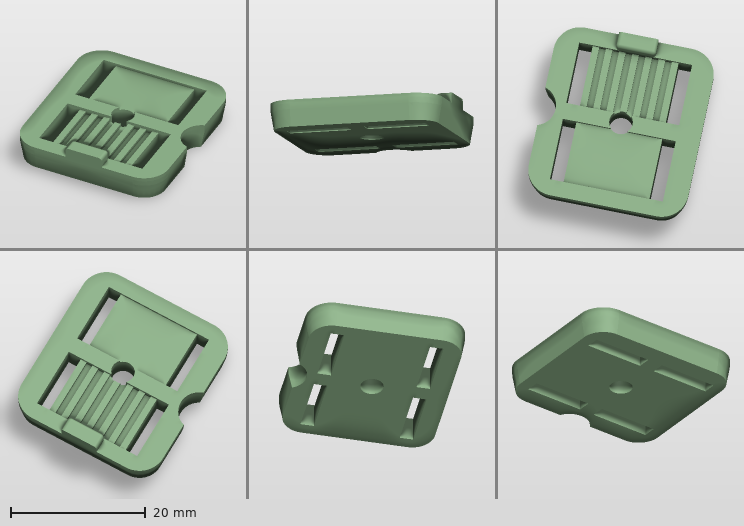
import cadquery as cq

LENGTH_X = 24.14
LENGTH_Y = 26.35
PLATE_HEIGHT = 4.0
CORNER_RADIUS = 4.0
RIM_HEIGHT = 1.0
DRAFT_ANGLE = 10.0
RIM_BLEND_RADIUS = 5.0
SELECTION_MARGIN = 0.01

WINDOW_WIDTH = 17.1
WINDOW_LENGTH = 9.5
CROSSBAR_WIDTH = 2.5
WINDOW_OFFSET = (CROSSBAR_WIDTH + WINDOW_LENGTH) / 2

PAD_HEIGHT = 3.55
RIB_COUNT = 7
RIB_PITCH = 2.0
GROOVE_WIDTH = 1.0
PAD_WIDTH = RIB_COUNT * RIB_PITCH - GROOVE_WIDTH
GROOVE_DEPTH = 0.55

HOLE_DIAMETER = 3.5
NOTCH_RADIUS = 3.1
NOTCH_DEPTH = 2.17

TAB_WIDTH = 6.0
TAB_HEIGHT = 1.6
TAB_LENGTH = LENGTH_Y / 2 - CROSSBAR_WIDTH / 2 - WINDOW_LENGTH
TAB_FILLET = 0.5


def box(width, length, bottom, top, center_x=0.0, center_y=0.0):
    """Upright box between two heights, centred at (center_x, center_y)."""
    return (
        cq.Workplane("XY", origin=(center_x, center_y, bottom))
        .rect(width, length)
        .extrude(top - bottom)
    )


def vertical_cylinder(radius, center_x=0.0):
    return cq.Workplane("XY", origin=(center_x, 0, 0)).circle(radius).extrude(PLATE_HEIGHT)


def make_plate():
    """Rounded rectangle with a vertical rim, a blended bend and drafted sides."""
    bend_height = PLATE_HEIGHT - RIM_HEIGHT
    outline = cq.Sketch().rect(LENGTH_X, LENGTH_Y).vertices().fillet(CORNER_RADIUS)
    rim = cq.Workplane("XY", origin=(0, 0, bend_height)).placeSketch(outline).extrude(RIM_HEIGHT)
    base = (
        cq.Workplane("XY", origin=(0, 0, bend_height))
        .placeSketch(outline)
        .extrude(-bend_height, taper=DRAFT_ANGLE)
    )
    plate = rim.union(base)
    bend_edges = cq.selectors.BoxSelector(
        (-LENGTH_X, -LENGTH_Y, bend_height - SELECTION_MARGIN),
        (LENGTH_X, LENGTH_Y, bend_height + SELECTION_MARGIN),
        boundingbox=True,
    )
    return plate.edges(bend_edges).fillet(RIM_BLEND_RADIUS)


def make_window(center_y):
    return box(WINDOW_WIDTH, WINDOW_LENGTH, 0, PLATE_HEIGHT, center_y=center_y)


def make_pad(center_y):
    return box(PAD_WIDTH, WINDOW_LENGTH, 0, PAD_HEIGHT, center_y=center_y)


def make_ribbed_pad(center_y):
    pad = make_pad(center_y)
    groove_count = RIB_COUNT - 1
    for index in range(groove_count):
        groove_x = (index - (groove_count - 1) / 2) * RIB_PITCH
        groove = box(
            GROOVE_WIDTH, WINDOW_LENGTH, PAD_HEIGHT - GROOVE_DEPTH, PAD_HEIGHT, groove_x, center_y
        )
        pad = pad.cut(groove)
    return pad


def make_tab():
    """Tab flush with the -Y edge, rounded everywhere but its front and its foot."""
    tab = box(
        TAB_WIDTH,
        TAB_LENGTH,
        PLATE_HEIGHT,
        PLATE_HEIGHT + TAB_HEIGHT,
        center_y=(TAB_LENGTH - LENGTH_Y) / 2,
    )
    return tab.edges("(>Z or >Y) except (<Y or <Z)").fillet(TAB_FILLET)


def make_part():
    part = make_plate()
    for side in (-1, 1):
        part = part.cut(make_window(side * WINDOW_OFFSET))
    part = part.union(make_pad(WINDOW_OFFSET))
    part = part.union(make_ribbed_pad(-WINDOW_OFFSET))
    part = part.cut(vertical_cylinder(HOLE_DIAMETER / 2))
    notch_x = LENGTH_X / 2 - NOTCH_DEPTH + NOTCH_RADIUS
    part = part.cut(vertical_cylinder(NOTCH_RADIUS, notch_x))
    return part.union(make_tab())


result = make_part()